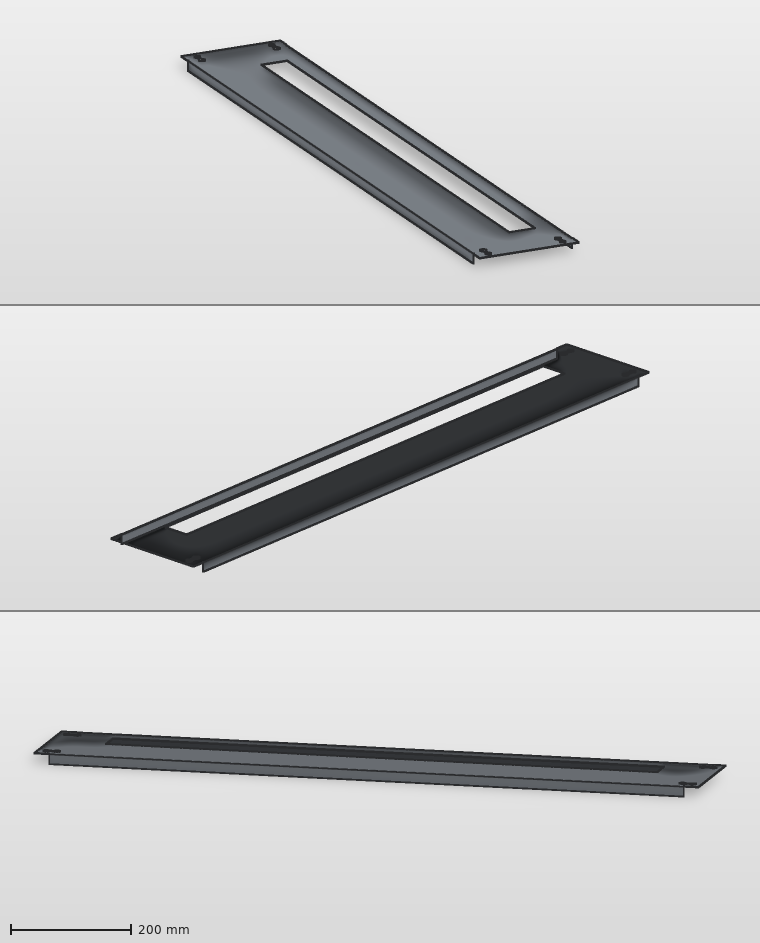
import cadquery as cq

length = 1138.0
width = 183.0
height = 18.0
thickness = 1.5

flange_inset = 25.0
flange_length = length - 2 * flange_inset

bend_radius = 1.7

window_length = 944.0
window_width = 48.0
window_edge_distance = 34.0

outer_hole_diameter = 10.0
inner_hole_diameter = 11.0
neck_width = 5.0
outer_hole_inset = 15.0
hole_spacing = 18.0
hole_edge_distance = 23.0


def make_panel():
    """Flat sheet with its top face at Z = 0."""
    return cq.Workplane("XY").workplane(offset=-thickness).rect(length, width).extrude(thickness)


def round_bend(body, side):
    """Round the outer corner where the sheet turns into a flange."""
    edge_y = side * width / 2
    corner = cq.Workplane("XY").center(0, edge_y - side * bend_radius / 2)
    corner = corner.rect(flange_length, bend_radius).extrude(-bend_radius)
    round_bar = (
        cq.Workplane("YZ", origin=(-flange_length / 2, edge_y - side * bend_radius, -bend_radius))
        .circle(bend_radius)
        .extrude(flange_length)
    )
    return body.cut(corner.cut(round_bar))


def make_flange(side):
    """Downward flange flush with the long edge on the given Y side."""
    center_y = side * (width - thickness) / 2
    return (
        cq.Workplane("XY")
        .center(0, center_y)
        .rect(flange_length, thickness)
        .extrude(-height)
    )


def make_window():
    """Rectangular cutter through the sheet."""
    center_y = width / 2 - window_edge_distance - window_width / 2
    return (
        cq.Workplane("XY")
        .center(0, center_y)
        .rect(window_length, window_width)
        .extrude(-thickness)
    )


def make_mounting_opening(side_x, side_y):
    """Dumbbell-shaped cutter for one corner."""
    outer_x = side_x * (length / 2 - outer_hole_inset)
    inner_x = outer_x - side_x * hole_spacing
    center_y = side_y * (width / 2 - hole_edge_distance)
    outer_hole = (
        cq.Workplane("XY")
        .center(outer_x, center_y)
        .circle(outer_hole_diameter / 2)
        .extrude(-thickness)
    )
    inner_hole = (
        cq.Workplane("XY")
        .center(inner_x, center_y)
        .circle(inner_hole_diameter / 2)
        .extrude(-thickness)
    )
    neck = (
        cq.Workplane("XY")
        .center((outer_x + inner_x) / 2, center_y)
        .rect(hole_spacing, neck_width)
        .extrude(-thickness)
    )
    return outer_hole.union(inner_hole).union(neck)


result = make_panel()
for side in (-1, 1):
    result = round_bend(result.union(make_flange(side)), side)

result = result.cut(make_window())
for side_x in (-1, 1):
    for side_y in (-1, 1):
        result = result.cut(make_mounting_opening(side_x, side_y))